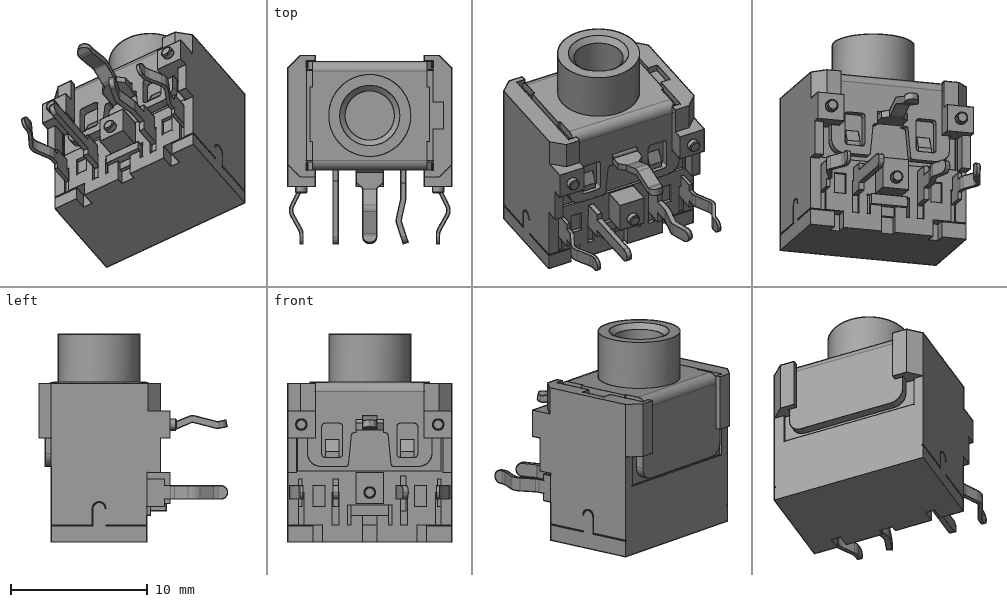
import cadquery as cq


HALF_WIDTH = 6.0
FACE_Y = 3.5
HOUSING_TOP = 11.6
STRIP_BOTTOM = 5.1
STRIP_INNER_X = 5.34
WALL_FRONT_Y = -4.5
CORNER_BACK_Y = 4.4
CORNER_INNER_X = 3.97
CORNER_BOTTOM = 7.6
BLOCK_TOP = 9.6
BLOCK_FRONT_Y = -5.2
CORNER_CHAMFER = 0.92

SEAT_HALF_WIDTH = 4.64
SEAT_Y = 3.3
SEAT_BOTTOM = 5.2
SEAT_LEFT_X = -5.28
SEAT_RIGHT_X = 5.2
NOTCH_OUTER_X = 5.4
NOTCH_HALF_LENGTH = 1.0

SHELL_TOP = 11.7
SHELL_Y = 4.0
SHELL_BACK_Y = 3.95
SHELL_THICKNESS = 0.6
SHELL_BEND = 0.7
SHELL_INNER_BEND = SHELL_BEND - SHELL_THICKNESS
SHELL_BOTTOM = 5.54
SHELL_CORNER = 0.95
ROOF_HALF_WIDTH = 4.2
PANEL_HALF_WIDTH = 4.54
PANEL_SHOULDER_Z = 11.0
FLANGE_HALF_WIDTH = 4.38
FLANGE_FRONT_Y = -1.9
FLANGE_BACK_Y = 2.1
ROOF_UNDERSIDE = SHELL_TOP - SHELL_THICKNESS

WINDOW_X = 2.745
WINDOW_WIDTH = 1.53
WINDOW_BOTTOM = 6.2
WINDOW_TOP = 8.7
WINDOW_CORNER = 0.25
HOOK_WIDTH = 0.99
HOOK_LEDGE_Z = 6.62
HOOK_TOP = 7.5
HOOK_TIP_Y = -3.7

OPENING_BOTTOM_HALF = 1.57
OPENING_TOP_HALF = 1.33
OPENING_SHOULDER_Z = 8.0
OPENING_CORNER = 0.2

TAB_HALF_WIDTH = 1.0
TAB_BOTTOM = 8.2
TAB_THICKNESS = 0.5
TAB_BEND_RADIUS = 0.26
TAB_BEND_REACH = 0.16
TAB_BEND_RISE = 0.26
TAB_SHOULDER_Y = -4.88
TAB_END_Y = -5.32
SHELL_PIN_WIDTH = 1.04
SHELL_PIN_BEND = 0.5
SHELL_PIN_RISE_Y = -5.43
SHELL_PIN_PEAK = (-6.8, 9.03)
SHELL_PIN_DIP = (-8.67, 8.55)
SHELL_PIN_TIP = (-9.32, 8.69)
TAB_MID_Z = TAB_BOTTOM + TAB_THICKNESS / 2

BARREL_RADIUS = 3.0
BARREL_TOP = 15.2
BORE_RADIUS = 1.8
BORE_CHAMFER = 0.4

PEG_RADIUS = 0.42
PEG_LENGTH = 0.46
PEG_CHAMFER = 0.08
PEG_X = 5.0
UPPER_PEG_Z = (CORNER_BOTTOM + BLOCK_TOP) / 2
LOWER_PEG_Z = 3.63
LOWER_BLOCK_HALF_WIDTH = 1.0
LOWER_BLOCK_BOTTOM = 2.82

PIN_BOTTOM = 3.15
PIN_TOP = 4.13
PIN_HEIGHT = PIN_TOP - PIN_BOTTOM
PIN_MID_Z = (PIN_BOTTOM + PIN_TOP) / 2
PIN_END_Y = -9.4
TIP_FLAT = 0.01
OUTER_PIN_BEND = 0.8
INNER_PIN_BEND = 0.4
PIN_EMBED = 0.3
OUTER_PIN_X = 5.075
OUTER_PIN_THICKNESS = 0.25
OUTER_PIN_BULGE_START_Y = -5.4
OUTER_PIN_BULGE_PEAK = (5.85, -6.95)
OUTER_PIN_BULGE_END_Y = -8.5
OUTER_PIN_END_X = 4.99
INNER_PIN_THICKNESS = 0.39
STRAIGHT_PIN_X = -2.495
BENT_PIN_X = 2.445
BENT_PIN_BEND_Y = -6.15
BENT_PIN_KNEE = (2.1, -7.7)
BENT_PIN_TIP = (2.63, -9.33)
BASE_FRONT_Y = -4.8
BASE_BOTTOM = 2.6
BASE_TOP = 4.61
BENT_BASE_FRONT_Y = -4.93
BENT_BASE_BOTTOM = 2.29
BENT_BASE_TOP = 4.83

COVER_TOP = 1.24
SEAM_WIDTH = 0.06
SEAM_DEPTH = 0.1
COVER_FRONT_X = 4.15
RELIEF_INNER_X = 3.44
RELIEF_DEPTH = 1.0
POCKET_DEPTH = 0.25
POCKET_INNER_X = 3.27
INNER_SLOT_X = 2.5
INNER_SLOT_WIDTH = 0.5
OUTER_SLOT_INNER_X = 4.81
OUTER_SLOT_OUTER_X = 5.19
FRAME_OUTER_X = 1.61
FRAME_INNER_X = 1.38
FRAME_TOP = 2.71
BAR_BOTTOM = 1.96
BAR_FRONT_Y = -3.77
GROOVE_HALF_WIDTH = 0.52
GROOVE_DEPTH = 0.5
GROOVE_UPPER_DEPTH = 0.25
TONGUE_RADIUS = 0.5
TONGUE_CENTRE_Z = 2.46


def box(x0, x1, y0, y1, z0, z1):
    """Box between two opposite corners."""
    return cq.Workplane("XY").box(x1 - x0, y1 - y0, z1 - z0, centered=False).translate((x0, y0, z0))


def mirrored(solid):
    """The solid together with its mirror image across X = 0."""
    return solid.union(solid.mirror("YZ"))


def plan_prism(points, z0, z1):
    """Prism standing on a plan outline."""
    return cq.Workplane("XY", origin=(0, 0, z0)).polyline(points).close().extrude(z1 - z0)


def front_prism(points, y0, y1):
    """Prism between y0 and y1 with an outline given in X and Z."""
    return cq.Workplane("XZ", origin=(0, y1, 0)).polyline(points).close().extrude(y1 - y0)


def front_pocket(x0, x1, z0, z1, depth):
    """Cutter sunk into the lower front face."""
    return box(x0, x1, -FACE_Y, -FACE_Y + depth, z0, z1)


def make_corner(y_face, y_edge, z0, z1):
    """Right-hand corner block whose outer vertical edge is cut at 45 degrees."""
    y_chamfer = y_edge - CORNER_CHAMFER if y_edge > 0 else y_edge + CORNER_CHAMFER
    outline = [
        (CORNER_INNER_X, y_face),
        (HALF_WIDTH, y_face),
        (HALF_WIDTH, y_chamfer),
        (HALF_WIDTH - CORNER_CHAMFER, y_edge),
        (CORNER_INNER_X, y_edge),
    ]
    return plan_prism(outline, z0, z1)


def make_housing():
    body = box(-HALF_WIDTH, HALF_WIDTH, -FACE_Y, FACE_Y, 0, HOUSING_TOP)
    strip = box(STRIP_INNER_X, HALF_WIDTH, WALL_FRONT_Y, -FACE_Y, STRIP_BOTTOM, CORNER_BOTTOM)
    block = box(CORNER_INNER_X, HALF_WIDTH, BLOCK_FRONT_Y, -SEAT_Y, CORNER_BOTTOM, BLOCK_TOP)
    front_corner = make_corner(-SEAT_Y, WALL_FRONT_Y, BLOCK_TOP, HOUSING_TOP)
    back_corner = make_corner(SEAT_Y, CORNER_BACK_Y, CORNER_BOTTOM, HOUSING_TOP)
    side = strip.union(block).union(front_corner).union(back_corner)
    return body.union(mirrored(side))


def make_shell_seat():
    """Cutter for the room around the shell: roof, both panels and the key notch."""
    roof = box(-SEAT_HALF_WIDTH, SEAT_HALF_WIDTH, -SHELL_Y, SHELL_Y, ROOF_UNDERSIDE, HOUSING_TOP)
    notch = box(0, NOTCH_OUTER_X, -NOTCH_HALF_LENGTH, NOTCH_HALF_LENGTH, ROOF_UNDERSIDE, HOUSING_TOP)
    upper = box(-SEAT_HALF_WIDTH, SEAT_HALF_WIDTH, SEAT_Y, SHELL_Y, CORNER_BOTTOM, HOUSING_TOP)
    lower = box(SEAT_LEFT_X, SEAT_RIGHT_X, SEAT_Y, FACE_Y, SEAT_BOTTOM, CORNER_BOTTOM)
    panel = upper.union(lower)
    return roof.union(notch).union(panel).union(panel.mirror("XZ"))


def make_shell():
    """Sheet bent over the top and down the front and back."""
    width = 2 * PANEL_HALF_WIDTH
    outer = box(-width, width, -SHELL_Y, SHELL_BACK_Y, SHELL_BOTTOM, SHELL_TOP)
    outer = outer.edges("|X and >Z").fillet(SHELL_BEND)
    inner = box(-width, width, SHELL_THICKNESS - SHELL_Y, SHELL_BACK_Y - SHELL_THICKNESS,
                SHELL_BOTTOM, ROOF_UNDERSIDE)
    inner = inner.edges("|X and >Z").fillet(SHELL_INNER_BEND)

    shoulder_drop = PANEL_HALF_WIDTH - ROOF_HALF_WIDTH
    right_side = [
        (PANEL_HALF_WIDTH, SHELL_BOTTOM),
        (PANEL_HALF_WIDTH, PANEL_SHOULDER_Z - shoulder_drop),
        (ROOF_HALF_WIDTH, PANEL_SHOULDER_Z),
        (ROOF_HALF_WIDTH, SHELL_TOP),
    ]
    left_side = [(-x, z) for x, z in reversed(right_side)]
    outline = front_prism(right_side + left_side, -SHELL_Y, SHELL_Y)
    outline = outline.edges("|Y and <Z").fillet(SHELL_CORNER)
    flange = box(-FLANGE_HALF_WIDTH, FLANGE_HALF_WIDTH, FLANGE_FRONT_Y, FLANGE_BACK_Y,
                 ROOF_UNDERSIDE, SHELL_TOP)
    shell = outer.cut(inner).intersect(outline).union(flange).cut(make_opening())
    leg_corners = cq.selectors.BoxSelector(
        (-PANEL_HALF_WIDTH / 2, -SHELL_Y, SHELL_BOTTOM - OPENING_CORNER),
        (PANEL_HALF_WIDTH / 2, -SEAT_Y, SHELL_BOTTOM + OPENING_CORNER),
    )
    shell = shell.edges("|Y").edges(leg_corners).fillet(OPENING_CORNER)
    return shell.cut(mirrored(make_window()))


def make_opening():
    """Cutter left in the front panel where the terminal tab was bent out."""
    front, back = -SHELL_Y, -SEAT_Y
    taper = [
        (-OPENING_BOTTOM_HALF, SHELL_BOTTOM),
        (OPENING_BOTTOM_HALF, SHELL_BOTTOM),
        (OPENING_TOP_HALF, OPENING_SHOULDER_Z),
        (-OPENING_TOP_HALF, OPENING_SHOULDER_Z),
    ]
    lower = front_prism(taper, front, back).edges("|Y and >Z").fillet(OPENING_CORNER)
    upper = box(-TAB_HALF_WIDTH, TAB_HALF_WIDTH, front, back, OPENING_SHOULDER_Z, TAB_BOTTOM)
    return lower.union(upper)


def make_window():
    half = WINDOW_WIDTH / 2
    window = box(WINDOW_X - half, WINDOW_X + half, -SHELL_Y, -SEAT_Y, WINDOW_BOTTOM, WINDOW_TOP)
    return window.edges("|Y").fillet(WINDOW_CORNER)


def make_hook():
    """Wedge on the housing that stands in a shell window."""
    profile = [
        (-SEAT_Y, WINDOW_BOTTOM),
        (HOOK_TIP_Y, WINDOW_BOTTOM),
        (HOOK_TIP_Y, HOOK_LEDGE_Z),
        (-SEAT_Y, HOOK_TOP),
    ]
    start_x = WINDOW_X - HOOK_WIDTH / 2
    return cq.Workplane("YZ", origin=(start_x, 0, 0)).polyline(profile).close().extrude(HOOK_WIDTH)


def make_barrel():
    return cq.Workplane("XY", origin=(0, 0, ROOF_UNDERSIDE)).circle(BARREL_RADIUS).extrude(
        BARREL_TOP - ROOF_UNDERSIDE)


def make_bore():
    """Blind plug hole with a chamfered mouth, ending above the bottom cover."""
    profile = [
        (0, COVER_TOP),
        (BORE_RADIUS, COVER_TOP),
        (BORE_RADIUS, BARREL_TOP - BORE_CHAMFER),
        (BORE_RADIUS + BORE_CHAMFER, BARREL_TOP),
        (0, BARREL_TOP),
    ]
    return cq.Workplane("XZ").polyline(profile).close().revolve(360, (0, 0, 0), (0, 1, 0))


def make_peg(x, z):
    peg = cq.Workplane("XZ", origin=(x, BLOCK_FRONT_Y, z)).circle(PEG_RADIUS).extrude(PEG_LENGTH)
    return peg.faces("<Y").chamfer(PEG_CHAMFER)


def make_strip(points, size_x, size_z, bend):
    """Rectangular strip swept along a bent centre line that starts towards -Y."""
    path = cq.Wire.makePolygon([cq.Vector(*point) for point in points])
    if len(points) > 2:
        path = path.fillet(bend)
    profile = cq.Workplane("XZ", origin=points[0]).rect(size_x, size_z)
    return profile.sweep(cq.Workplane(path), transition="right")


def make_lower_pin(plan_points, thickness, bend):
    """Upright strip terminal with a rounded tip, following a centre line in plan."""
    points = [(x, y, PIN_MID_Z) for x, y in plan_points]
    pin = make_strip(points, thickness, PIN_HEIGHT, bend)
    return pin.faces("<Y").edges("<Z or >Z").fillet((PIN_HEIGHT - TIP_FLAT) / 2)


def make_pin_base(x, thickness, front_y, z0, z1):
    return box(x - thickness / 2, x + thickness / 2, front_y, -FACE_Y + PIN_EMBED, z0, z1)


def make_outer_pin():
    """Right-hand outer terminal with a snap-in bulge."""
    centre_line = [
        (OUTER_PIN_X, -FACE_Y + PIN_EMBED),
        (OUTER_PIN_X, OUTER_PIN_BULGE_START_Y),
        OUTER_PIN_BULGE_PEAK,
        (OUTER_PIN_END_X, OUTER_PIN_BULGE_END_Y),
        (OUTER_PIN_END_X, PIN_END_Y),
    ]
    pin = make_lower_pin(centre_line, OUTER_PIN_THICKNESS, OUTER_PIN_BEND)
    return pin.union(make_pin_base(OUTER_PIN_X, OUTER_PIN_THICKNESS, BASE_FRONT_Y, BASE_BOTTOM, BASE_TOP))


def make_straight_pin():
    centre_line = [(STRAIGHT_PIN_X, -FACE_Y + PIN_EMBED), (STRAIGHT_PIN_X, PIN_END_Y)]
    pin = make_lower_pin(centre_line, INNER_PIN_THICKNESS, INNER_PIN_BEND)
    return pin.union(make_pin_base(STRAIGHT_PIN_X, INNER_PIN_THICKNESS, BASE_FRONT_Y, BASE_BOTTOM, BASE_TOP))


def make_bent_pin():
    centre_line = [
        (BENT_PIN_X, -FACE_Y + PIN_EMBED),
        (BENT_PIN_X, BENT_PIN_BEND_Y),
        BENT_PIN_KNEE,
        BENT_PIN_TIP,
    ]
    pin = make_lower_pin(centre_line, INNER_PIN_THICKNESS, INNER_PIN_BEND)
    base = make_pin_base(BENT_PIN_X, INNER_PIN_THICKNESS, BENT_BASE_FRONT_Y,
                         BENT_BASE_BOTTOM, BENT_BASE_TOP)
    return pin.union(base)


def make_shell_terminal():
    """Tab bent out of the front panel, narrowing to a kinked strip."""
    half_pin = SHELL_PIN_WIDTH / 2
    shell_back = -SHELL_Y + SHELL_THICKNESS
    tab_top = TAB_BOTTOM + TAB_THICKNESS
    right_side = [(TAB_HALF_WIDTH, shell_back), (TAB_HALF_WIDTH, TAB_SHOULDER_Y), (half_pin, TAB_END_Y)]
    left_side = [(-x, y) for x, y in reversed(right_side)]
    tab = plan_prism(right_side + left_side, TAB_BOTTOM, tab_top)

    bend = (
        cq.Workplane("YZ", origin=(-TAB_HALF_WIDTH, 0, 0))
        .moveTo(-SHELL_Y, tab_top)
        .lineTo(-SHELL_Y - TAB_BEND_REACH, tab_top)
        .radiusArc((-SHELL_Y, tab_top + TAB_BEND_RISE), TAB_BEND_RADIUS)
        .close()
        .extrude(2 * TAB_HALF_WIDTH)
    )
    centre_line = [
        (0, TAB_SHOULDER_Y, TAB_MID_Z),
        (0, SHELL_PIN_RISE_Y, TAB_MID_Z),
        (0, *SHELL_PIN_PEAK),
        (0, *SHELL_PIN_DIP),
        (0, *SHELL_PIN_TIP),
    ]
    pin = make_strip(centre_line, SHELL_PIN_WIDTH, TAB_THICKNESS, SHELL_PIN_BEND)
    pin = pin.faces("<Y").edges("<X or >X").fillet((SHELL_PIN_WIDTH - TIP_FLAT) / 2)
    return tab.union(bend).union(pin)


def make_front_details():
    """Block and bar that stand on the lower front face."""
    block = box(-LOWER_BLOCK_HALF_WIDTH, LOWER_BLOCK_HALF_WIDTH, BLOCK_FRONT_Y, -FACE_Y,
                LOWER_BLOCK_BOTTOM, STRIP_BOTTOM)
    bar = box(-FRAME_INNER_X, FRAME_INNER_X, BAR_FRONT_Y, -FACE_Y, BAR_BOTTOM, FRAME_TOP)
    return block.union(bar)


def make_front_recesses():
    """Cutter for the slots, pockets and grooves of the lower front face."""
    half_slot = INNER_SLOT_WIDTH / 2
    slot_outer = front_pocket(OUTER_SLOT_INNER_X, OUTER_SLOT_OUTER_X, COVER_TOP, PIN_MID_Z, POCKET_DEPTH)
    slot_inner = front_pocket(INNER_SLOT_X - half_slot, INNER_SLOT_X + half_slot,
                              COVER_TOP, PIN_MID_Z, POCKET_DEPTH)
    pocket = front_pocket(POCKET_INNER_X, COVER_FRONT_X, BASE_BOTTOM, PIN_TOP, POCKET_DEPTH)
    frame_slot = front_pocket(FRAME_INNER_X, FRAME_OUTER_X, COVER_TOP, FRAME_TOP, POCKET_DEPTH)
    relief = front_pocket(RELIEF_INNER_X, COVER_FRONT_X, 0, COVER_TOP, RELIEF_DEPTH)
    half_set = slot_outer.union(slot_inner).union(pocket).union(frame_slot).union(relief)

    groove = front_pocket(-GROOVE_HALF_WIDTH, GROOVE_HALF_WIDTH, 0, COVER_TOP, GROOVE_DEPTH)
    groove_upper = front_pocket(-GROOVE_HALF_WIDTH, GROOVE_HALF_WIDTH, COVER_TOP, BAR_BOTTOM,
                                GROOVE_UPPER_DEPTH)
    return mirrored(half_set).union(groove).union(groove_upper)


def make_cover_seam():
    """Cutter for the seam above the bottom cover and around its side tongue."""
    inner_x = HALF_WIDTH - SEAM_DEPTH
    seam_bottom = COVER_TOP - SEAM_WIDTH
    tongue_inner = TONGUE_RADIUS - SEAM_WIDTH
    back = box(inner_x, HALF_WIDTH, TONGUE_RADIUS, FACE_Y, seam_bottom, COVER_TOP)
    front = box(inner_x, HALF_WIDTH, -FACE_Y, -TONGUE_RADIUS, seam_bottom, COVER_TOP)
    edge = box(inner_x, HALF_WIDTH, tongue_inner, TONGUE_RADIUS, seam_bottom, TONGUE_CENTRE_Z)
    ring = (
        cq.Workplane("YZ", origin=(inner_x, 0, TONGUE_CENTRE_Z))
        .circle(TONGUE_RADIUS)
        .circle(tongue_inner)
        .extrude(SEAM_DEPTH)
    )
    arch = ring.intersect(box(inner_x, HALF_WIDTH, -TONGUE_RADIUS, TONGUE_RADIUS,
                              TONGUE_CENTRE_Z, TONGUE_CENTRE_Z + TONGUE_RADIUS))
    corner = front_pocket(COVER_FRONT_X, HALF_WIDTH, seam_bottom, COVER_TOP, SEAM_DEPTH)
    return mirrored(back.union(front).union(edge).union(arch).union(corner))


housing = make_housing().cut(make_shell_seat())
housing = housing.cut(make_front_recesses()).cut(make_cover_seam())
housing = housing.union(mirrored(make_hook())).union(make_front_details())
housing = housing.union(mirrored(make_peg(PEG_X, UPPER_PEG_Z))).union(make_peg(0, LOWER_PEG_Z))

jack = housing.union(make_shell()).union(make_barrel()).cut(make_bore())
jack = jack.union(make_shell_terminal())
jack = jack.union(mirrored(make_outer_pin())).union(make_straight_pin()).union(make_bent_pin())

result = jack